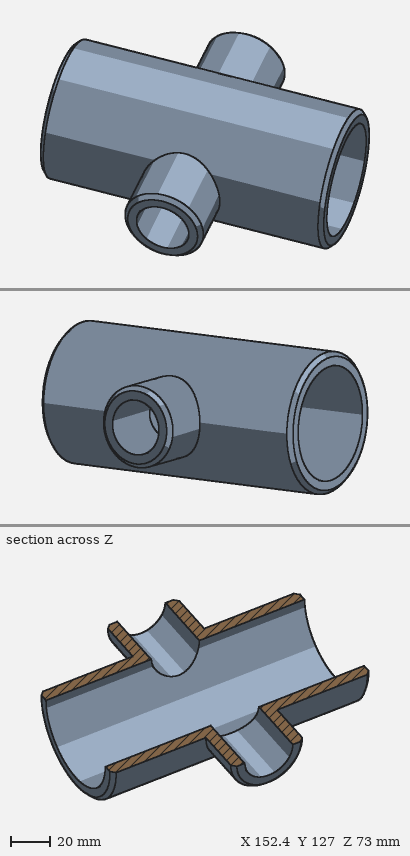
import cadquery as cq

run_length = 152.4
run_diameter = 73.0
run_bore = 59.0

branch_span = 127.0
branch_diameter = 42.2
branch_bore = 28.2

end_bevel = 2.3


def centred_cylinder(plane, diameter, length):
    """Solid cylinder through the origin, normal to the plane."""
    return cq.Workplane(plane).circle(diameter / 2).extrude(length / 2, both=True)


def bevelled_bar(plane, diameter, length):
    """Centred cylinder with both end edges bevelled."""
    bar = centred_cylinder(plane, diameter, length)
    return bar.faces("%PLANE").edges().chamfer(end_bevel)


body = bevelled_bar("YZ", run_diameter, run_length)
body = body.union(bevelled_bar("XZ", branch_diameter, branch_span))

body = body.cut(centred_cylinder("YZ", run_bore, run_length))
result = body.cut(centred_cylinder("XZ", branch_bore, branch_span))